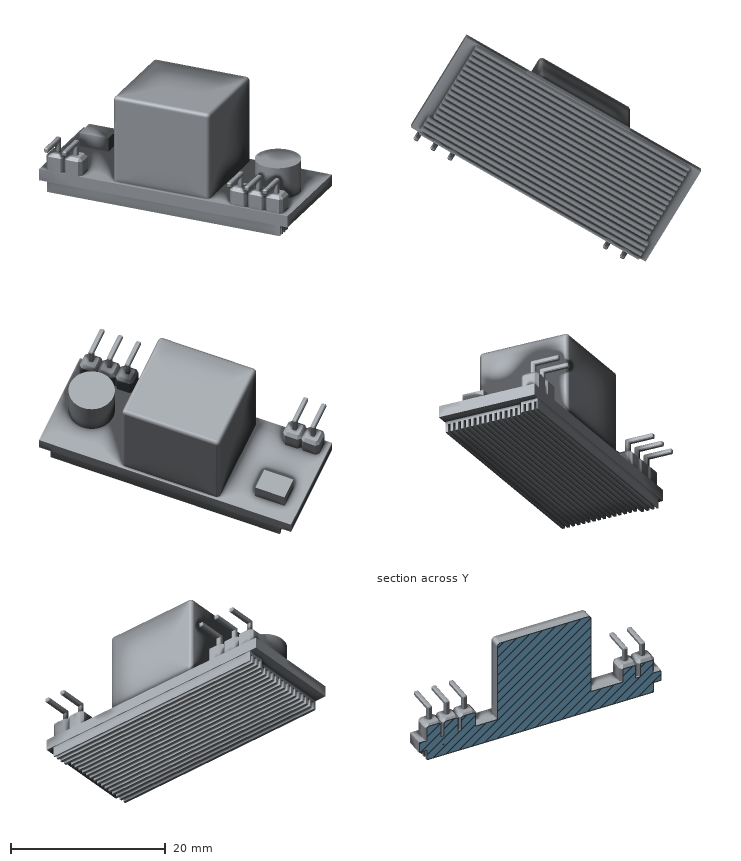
import cadquery as cq


BOARD_X = 35.2
BOARD_Y = 14.0
BOARD_THICKNESS = 1.6

COMB_HEIGHT = 1.5
FRONT_COMB_INSET = 1.1
REAR_COMB_INSET = 1.6
COMB_SIDE_INSET = 0.1
SLOT_COUNT = 18
GAP_INDEX = 14
SLOT_PITCH = 0.757
SLOT_WIDTH = 0.38
SLOT_DEPTH = 1.1
FIRST_FIN_WIDTH = 0.37

BOARD_TOP = COMB_HEIGHT + BOARD_THICKNESS

BLOCK_X, BLOCK_Y, BLOCK_Z = 13.65, 13.0, 12.0
BLOCK_CORNER = (10.2, 0.6)
BLOCK_FILLET = 0.5

CHIP_X, CHIP_Y, CHIP_Z = 4.1, 3.05, 1.9
CHIP_CORNER = (1.9, 8.5)

CAN_DIAMETER = 6.0
CAN_HEIGHT = 4.4
CAN_CENTER = (30.7, 7.0)

HOUSING_HEIGHT = 2.4
HOUSING_CHAMFER = 0.4
LEFT_HOUSING_SIZE = 2.54
LEFT_HOUSING_COUNT = 2
LEFT_HOUSING_CORNER = (0.86, 0.03)
RIGHT_HOUSING_SIZE = 2.5
RIGHT_HOUSING_COUNT = 3
RIGHT_HOUSING_CORNER = (26.8, 0.2)

PIN_PITCH = 2.54
PIN_SIZE = 0.64
PIN_CHAMFER = 0.12
PIN_TOP = 7.5
PIN_CENTER_Y = 1.27
PIN_TIP_Y = -2.52
LEFT_PIN_X = 2.13
RIGHT_PIN_X = 28.0


def box_at(x, y, z, size_x, size_y, size_z):
    """Box placed by its lowest corner."""
    return cq.Workplane("XY").box(size_x, size_y, size_z, centered=False).translate((x, y, z))


def make_board():
    return box_at(0, 0, COMB_HEIGHT, BOARD_X, BOARD_Y, BOARD_THICKNESS)


def slot_low_side(index):
    """Y of the -Y side of a slot, with slots numbered from the +Y side."""
    return BOARD_Y - COMB_SIDE_INSET - FIRST_FIN_WIDTH - index * SLOT_PITCH - SLOT_WIDTH


def make_comb(low_y, high_y, end_inset, slot_indexes):
    length = BOARD_X - 2 * end_inset
    comb = box_at(end_inset, low_y, 0, length, high_y - low_y, COMB_HEIGHT)
    for index in slot_indexes:
        comb = comb.cut(box_at(end_inset, slot_low_side(index), 0, length, SLOT_WIDTH, SLOT_DEPTH))
    return comb


def make_combs():
    gap_low = slot_low_side(GAP_INDEX)
    gap_high = gap_low + SLOT_WIDTH
    front_slots = range(GAP_INDEX + 1, SLOT_COUNT)
    front_comb = make_comb(COMB_SIDE_INSET, gap_low, FRONT_COMB_INSET, front_slots)
    rear_comb = make_comb(gap_high, BOARD_Y - COMB_SIDE_INSET, REAR_COMB_INSET, range(GAP_INDEX))
    return front_comb.add(rear_comb).combine()


def make_block():
    block = box_at(*BLOCK_CORNER, BOARD_TOP, BLOCK_X, BLOCK_Y, BLOCK_Z)
    return block.edges("|Z or >Z").fillet(BLOCK_FILLET)


def make_chip():
    return box_at(*CHIP_CORNER, BOARD_TOP, CHIP_X, CHIP_Y, CHIP_Z)


def make_can():
    can = cq.Workplane("XY").circle(CAN_DIAMETER / 2).extrude(CAN_HEIGHT)
    return can.translate((*CAN_CENTER, BOARD_TOP))


def make_housings(corner, size, count):
    """Row of square housings side by side along X, chamfered on the vertical and top edges."""
    corner_x, corner_y = corner
    row = cq.Workplane("XY")
    for index in range(count):
        housing = box_at(corner_x + index * size, corner_y, BOARD_TOP, size, size, HOUSING_HEIGHT)
        housing = housing.edges("|Z").chamfer(HOUSING_CHAMFER)
        row = row.add(housing.faces(">Z").chamfer(HOUSING_CHAMFER))
    return row.combine()


def make_pin(x):
    """Pin that rises from the board and bends toward -Y, with its edges broken."""
    back_y = PIN_CENTER_Y + PIN_SIZE / 2
    front_y = PIN_CENTER_Y - PIN_SIZE / 2
    underside = PIN_TOP - PIN_SIZE
    profile = [
        (back_y, BOARD_TOP),
        (back_y, PIN_TOP),
        (PIN_TIP_Y, PIN_TOP),
        (PIN_TIP_Y, underside),
        (front_y, underside),
        (front_y, BOARD_TOP),
    ]
    pin = cq.Workplane("YZ").polyline(profile).close().extrude(PIN_SIZE / 2, both=True)
    inner_bend = cq.selectors.BoxSelector(
        (-PIN_SIZE, front_y - PIN_CHAMFER, underside - PIN_CHAMFER),
        (PIN_SIZE, front_y + PIN_CHAMFER, underside + PIN_CHAMFER),
    )
    root = cq.selectors.StringSyntaxSelector("<Z")
    broken_edges = cq.selectors.InverseSelector(cq.selectors.SumSelector(inner_bend, root))
    return pin.edges(broken_edges).chamfer(PIN_CHAMFER).translate((x, 0, 0))


def make_pin_row(first_x, count):
    row = cq.Workplane("XY")
    for index in range(count):
        row = row.add(make_pin(first_x + index * PIN_PITCH))
    return row.combine()


result = (
    make_board()
    .union(make_combs())
    .union(make_block())
    .union(make_chip())
    .union(make_can())
    .union(make_housings(LEFT_HOUSING_CORNER, LEFT_HOUSING_SIZE, LEFT_HOUSING_COUNT))
    .union(make_housings(RIGHT_HOUSING_CORNER, RIGHT_HOUSING_SIZE, RIGHT_HOUSING_COUNT))
    .union(make_pin_row(LEFT_PIN_X, LEFT_HOUSING_COUNT))
    .union(make_pin_row(RIGHT_PIN_X, RIGHT_HOUSING_COUNT))
    .solids()
)